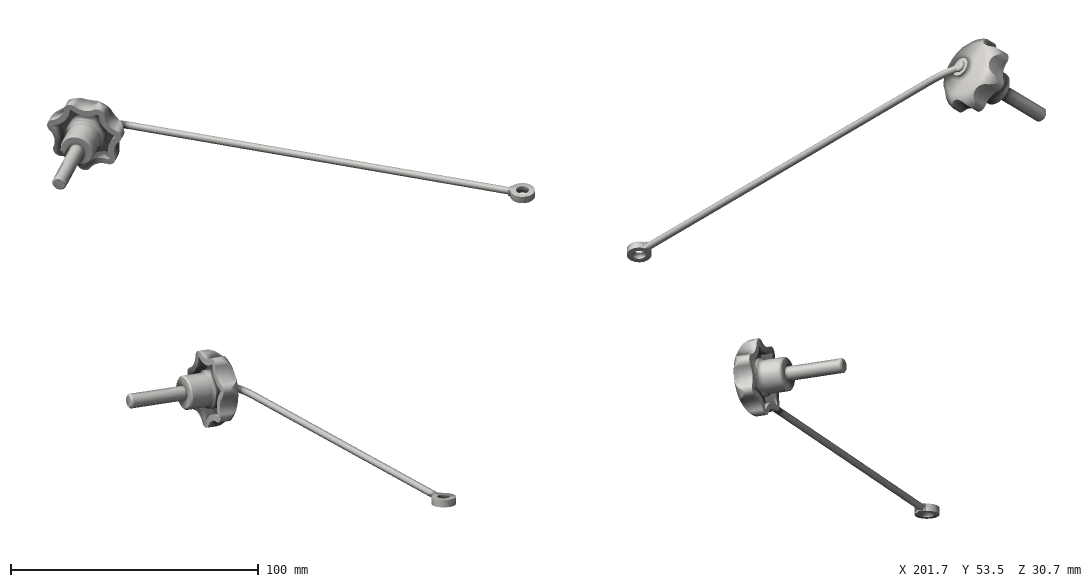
import cadquery as cq
import math


lobe_count = 7
knob_radius = 16.0
lobe_radius = 3.0
valley_radius = 7.0
knob_height = 10.0
rim_height = 3.0
shoulder_radius = 6.0
wall_thickness = 2.5
recess_depth = 5.0

hub_radius = 7.0
hub_length = 10.0
hub_root_radius = 8.0
flare_height = 0.6
flare_length = 1.6
hub_chamfer = 0.6
stud_radius = 3.0
stud_length = 25.0
stud_chamfer = 0.6

flare_gain = hub_root_radius - hub_radius
flare_radius = (flare_length**2 + flare_gain**2) / (2 * flare_gain)

rod_radius = 1.5
rod_y = 13.5
bend_start_x = 15.0
bend_radius = 50.0
bend_angle = 11.0
eye_x = 181.0
eye_radius = 5.0
eye_hole_radius = 2.65
eye_thickness = 3.1
neck_length = 0.6
neck_flare = 0.5

pin_radius = 1.75
washer_radius = 4.0
washer_thickness = 0.8
washer_y = 11.1
head_radius = 2.4
head_height = 1.3
head_rounding = 1.0


def disc_along_y(radius, y_start, y_end):
    """Round bar on the Y axis from y_start to y_end."""
    plane = cq.Workplane("XZ", origin=(0, y_end, 0))
    return plane.circle(radius).extrude(y_end - y_start)


def star_outline(plane, inset):
    """Closed star of tip arcs and tangent valley arcs, moved inwards by the inset."""
    tip_r = lobe_radius - inset
    valley_r = valley_radius + inset
    tip_centre = knob_radius - lobe_radius
    half_pitch = math.pi / lobe_count
    valley_centre = tip_centre * math.cos(half_pitch) + math.sqrt(
        (tip_r + valley_r) ** 2 - (tip_centre * math.sin(half_pitch)) ** 2
    )
    valley_bottom = valley_centre - valley_r
    joint_share = tip_r / (tip_r + valley_r)

    def polar(radius, angle):
        return (radius * math.cos(angle), radius * math.sin(angle))

    def joint(tip_angle, valley_angle):
        """Point where a tip arc runs tangentially into a valley arc."""
        tip = polar(tip_centre, tip_angle)
        valley = polar(valley_centre, valley_angle)
        return tuple(t + joint_share * (v - t) for t, v in zip(tip, valley))

    first_tip = -math.pi / 2
    outline = plane.moveTo(*joint(first_tip, first_tip - half_pitch))
    for i in range(lobe_count):
        tip_angle = first_tip + 2 * i * half_pitch
        valley_angle = tip_angle + half_pitch
        next_tip = valley_angle + half_pitch
        outline = outline.threePointArc(
            polar(tip_centre + tip_r, tip_angle), joint(tip_angle, valley_angle)
        )
        outline = outline.threePointArc(
            polar(valley_bottom, valley_angle), joint(next_tip, valley_angle)
        )
    return outline.close()


def domed_blank():
    """Turned knob blank: straight rim, rounded shoulder and a shallow crown tangent to it."""
    shoulder_x = knob_radius - shoulder_radius
    rise = knob_height - rim_height
    crown_radius = (shoulder_x**2 + rise**2 - shoulder_radius**2) / (2 * (rise - shoulder_radius))
    crown_y = knob_height - crown_radius
    crown_angle = math.atan2(shoulder_x, rim_height - crown_y)

    def on_crown(angle):
        return (crown_radius * math.sin(angle), crown_y + crown_radius * math.cos(angle))

    shoulder_angle = (crown_angle + math.pi / 2) / 2
    shoulder_middle = (
        shoulder_x + shoulder_radius * math.sin(shoulder_angle),
        rim_height + shoulder_radius * math.cos(shoulder_angle),
    )
    return (
        cq.Workplane("XY")
        .lineTo(knob_radius, 0)
        .lineTo(knob_radius, rim_height)
        .threePointArc(shoulder_middle, on_crown(crown_angle))
        .threePointArc(on_crown(crown_angle / 2), (0, knob_height))
        .close()
        .revolve(360, (0, 0, 0), (0, 1, 0))
    )


def star_knob():
    """Domed blank trimmed to the star, with a star-shaped recess in its open face."""
    star = star_outline(cq.Workplane("XZ", origin=(0, knob_height, 0)), 0).extrude(knob_height)
    recess_plane = cq.Workplane("XZ", origin=(0, recess_depth, 0))
    recess = star_outline(recess_plane, wall_thickness).extrude(recess_depth)
    return domed_blank().intersect(star).cut(recess)


def hub_and_stud():
    """Turned hub, flared where it enters the recess, and the stud below it."""
    hub_end = -hub_length
    stud_end = hub_end - stud_length
    return (
        cq.Workplane("XY")
        .moveTo(0, recess_depth)
        .lineTo(hub_root_radius, recess_depth)
        .lineTo(hub_root_radius, flare_height)
        .radiusArc((hub_radius, flare_height - flare_length), -flare_radius)
        .lineTo(hub_radius, hub_end + hub_chamfer)
        .lineTo(hub_radius - hub_chamfer, hub_end)
        .lineTo(stud_radius, hub_end)
        .lineTo(stud_radius, stud_end + stud_chamfer)
        .lineTo(stud_radius - stud_chamfer, stud_end)
        .lineTo(0, stud_end)
        .close()
        .revolve(360, (0, 0, 0), (0, 1, 0))
    )


def large_eye(neck_x):
    """Flat ring with a short square neck that flares into the ring."""
    half = eye_thickness / 2
    plane = cq.Workplane("XY", origin=(eye_x, rod_y, -half))
    ring = plane.circle(eye_radius).extrude(eye_thickness)
    neck_reach = eye_x - neck_x
    neck = plane.center(-neck_reach / 2, 0).rect(neck_reach, eye_thickness).extrude(eye_thickness)
    corner_x = eye_x - math.sqrt(eye_radius**2 - half**2)
    corner_zone = cq.selectors.BoxSelector(
        (corner_x - neck_flare, rod_y - eye_radius, -half),
        (corner_x + neck_flare, rod_y + eye_radius, half),
    )
    hole = plane.circle(eye_hole_radius).extrude(eye_thickness)
    return ring.union(neck).edges("|Z").edges(corner_zone).fillet(neck_flare).cut(hole)


def strap():
    """Rod from the large eye to the pin, bent towards the knob near its end."""
    bend = math.radians(bend_angle)

    def on_bend(angle):
        return (
            bend_start_x - bend_radius * math.sin(angle),
            rod_y - bend_radius * (1 - math.cos(angle)),
        )

    bend_end = on_bend(bend)
    swivel_y = bend_end[1] - bend_end[0] * math.tan(bend)
    neck_x = eye_x - eye_radius - neck_length
    path = (
        cq.Workplane("XY")
        .moveTo(neck_x, rod_y)
        .lineTo(bend_start_x, rod_y)
        .threePointArc(on_bend(bend / 2), bend_end)
        .lineTo(0, swivel_y)
    )
    rod = cq.Workplane("YZ", origin=(neck_x, rod_y, 0)).circle(rod_radius).sweep(path)
    return rod.union(large_eye(neck_x))


def swivel_pin():
    """Pin rising from the crown, with a washer and a rounded head that holds the bent rod end."""
    washer_top = washer_y + washer_thickness
    pin = disc_along_y(pin_radius, knob_height / 2, washer_top)
    washer = disc_along_y(washer_radius, washer_y, washer_top)
    head = disc_along_y(head_radius, washer_top, washer_top + head_height)
    head = head.faces(">Y").edges().fillet(head_rounding)
    return pin.union(washer).union(head)


result = star_knob().union(hub_and_stud()).union(swivel_pin()).union(strap())